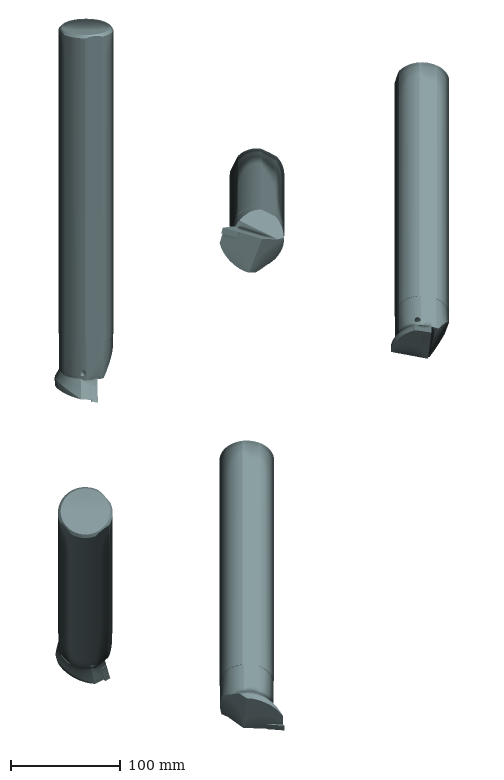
import cadquery as cq
import math


bar_top = 351.5
shank_radius = 25.0
neck_radius = 24.5
flat_distance = 23.5
neck_top = 55.0
neck_bottom = 18.3
top_chamfer = 2.5

flare_top = 19.7
flare_half_angle = 30.0
head_radius = 28.5
head_outer_radius = 41.5
head_floor = 3.0
underside_slope_x = 0.05
underside_slope_y = 0.1
back_start_z = 27.5
back_angle = 48.0
runout_start_z = 43.2
runout_slope = 0.56

tip_x = 34.8
rake_slope_x = 0.16
rake_slope_z = 0.07
insert_angle = 55.0
lead_angle = 5.0
insert_edge = 15.5
insert_thickness = 5.5
flank_clearance = 0.5

outlet_diameter = 5.3
outlet_point = cq.Vector(22.0, -10.0, 25.0)
outlet_direction = cq.Vector(0.7, -0.2, -0.6)
outlet_depth = 10.5
outlet_clearance = 1.8

cutter_size = 211.0


def half_space(point, normal):
    """Large block filling the side of a plane toward which the normal points."""
    plane = cq.Plane(origin=point, normal=normal)
    return cq.Workplane(plane).rect(cutter_size, cutter_size).extrude(cutter_size)


rake_normal = cq.Vector(rake_slope_x, 1, -rake_slope_z)
insert_plane = cq.Plane(
    origin=(tip_x, 0, 0),
    xDir=(-1, rake_slope_x, 0),
    normal=rake_normal,
)


def insert_outline():
    """Rhombus corners, starting at the cutting tip."""
    low = math.radians(lead_angle)
    high = math.radians(lead_angle + insert_angle)
    lower = (insert_edge * math.cos(low), insert_edge * math.sin(low))
    upper = (insert_edge * math.cos(high), insert_edge * math.sin(high))
    return [(0, 0), lower, (lower[0] + upper[0], lower[1] + upper[1]), upper]


def make_insert():
    blank = cq.Workplane(insert_plane).polyline(insert_outline()).close()
    return blank.extrude(-insert_thickness)


def make_shank():
    neck = (
        cq.Workplane("XY").workplane(offset=neck_bottom)
        .circle(neck_radius).extrude(neck_top - neck_bottom)
    )
    shank = (
        cq.Workplane("XY").workplane(offset=neck_top)
        .circle(shank_radius).extrude(bar_top - neck_top)
        .faces(">Z").chamfer(top_chamfer)
    )
    bar = neck.union(shank)
    for x, y in [(1, 0), (0, 1), (0, -1)]:
        direction = cq.Vector(x, y, 0)
        flat = cq.Workplane(cq.Plane(direction * flat_distance, (0, 0, 1), direction))
        bar = bar.cut(flat.rect(3 * bar_top, cutter_size).extrude(cutter_size))
    return bar


def make_head():
    """Cone flaring from the neck, bounded by a wall of two arcs and by flat faces."""
    foot_radius = neck_radius + flare_top * math.tan(math.radians(flare_half_angle))
    cone = (
        cq.Workplane("XZ")
        .polyline([(0, 0), (foot_radius, 0), (neck_radius, flare_top), (0, flare_top)])
        .close().revolve(360, (0, 0, 0), (0, 1, 0))
    )
    outer_center_y = head_outer_radius - head_radius
    inner_wall = cq.Workplane("XY").circle(head_radius).extrude(flare_top)
    outer_wall = (
        cq.Workplane("XY").moveTo(0, -head_radius)
        .threePointArc(
            (head_outer_radius, outer_center_y),
            (0, outer_center_y + head_outer_radius),
        )
        .close().extrude(flare_top)
    )
    wall = inner_wall.union(outer_wall)
    underside = half_space(
        cq.Vector(0, 0, head_floor), cq.Vector(-underside_slope_x, -underside_slope_y, -1)
    )
    flank_angle = math.radians(lead_angle + insert_angle)
    flank_normal = (
        insert_plane.yDir * math.cos(flank_angle) - insert_plane.xDir * math.sin(flank_angle)
    )
    flank = half_space(insert_plane.origin - flank_normal * flank_clearance, flank_normal)
    rake = half_space(insert_plane.origin, rake_normal)
    return cone.intersect(wall).cut(underside).cut(flank).cut(rake)


def make_chip_pocket():
    """Space above both the rake plane and the runout that climbs to the +Y flat."""
    rake = half_space(insert_plane.origin, rake_normal)
    runout = half_space(
        cq.Vector(0, flat_distance, runout_start_z), cq.Vector(0, 1, -runout_slope)
    )
    return rake.intersect(runout)


def make_coolant_outlet():
    direction = outlet_direction.normalized()
    drill = cq.Solid.makeCylinder(
        outlet_diameter / 2,
        outlet_depth + outlet_clearance,
        outlet_point - direction * outlet_depth,
        direction,
    )
    return cq.Workplane(drill)


def make_back():
    slope = math.radians(back_angle)
    return half_space(
        cq.Vector(-neck_radius, 0, back_start_z), cq.Vector(-math.sin(slope), 0, -math.cos(slope))
    )


insert = make_insert()
bar = make_shank().cut(make_coolant_outlet())
holder = bar.union(make_head()).cut(make_back()).cut(make_chip_pocket()).cut(insert)

result = cq.Compound.makeCompound([holder.val(), insert.val()])